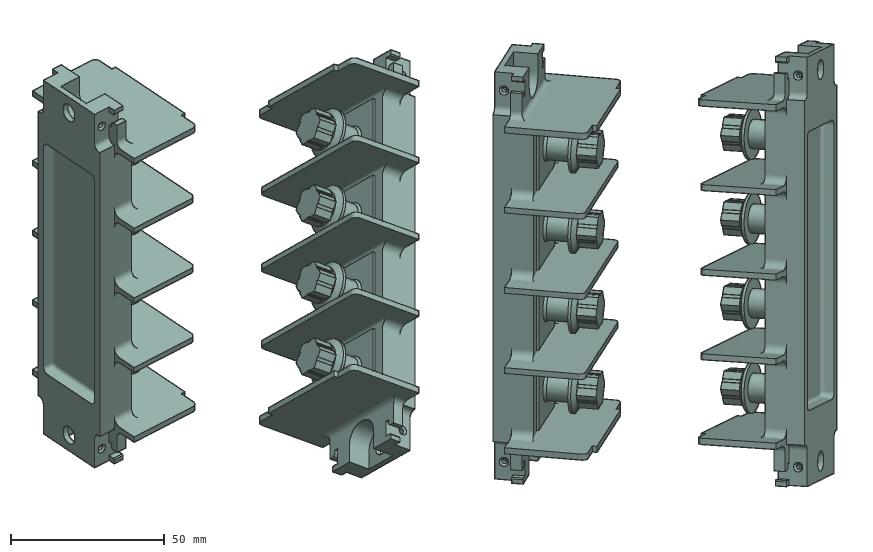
import cadquery as cq
import math

LENGTH = 142.2
MID = LENGTH / 2

ARC_MIDDLE = 1 - math.sqrt(0.5)

PLATE_PITCH = 28.0
PLATE_THICK = 2.1
INNER_PLATE_THICK = 2.0
PLATE_PLACES = [n * PLATE_PITCH for n in (-2, -1, 0, 1, 2)]
BAY_PLACES = [(n + 0.5) * PLATE_PITCH for n in (-2, -1, 0, 1)]
BODY_TOP = 2 * PLATE_PITCH + PLATE_THICK / 2
BODY_WIDTH = 30.5
BODY_DEPTH = 13.7

PLATE_WIDTH = 50.0
PLATE_FRONT = 6.3
INNER_PLATE_BACK = 32.8
OUTER_PLATE_BACK = 33.7
TONGUE_WIDTH = 34.1
TONGUE_BACK = 35.3
PLATE_CORNER = 2.0

BODY_SIDE_FLARE = 2.8
BODY_BACK_FLARE = 0.7
HOOK_SIDE_FLARE = 2.3
HOOK_BACK_FLARE = 1.7

END_WIDTH = 25.3
END_DEPTH = 10.1
END_FILLET = 2.1
SHOULDER_TOP = 63.7
HOOK_WIDTH = 33.1
HOOK_INNER_WIDTH = 27.6
HOOK_TOP = 65.8
HOOK_ROUND = 1.4
TAB_THICK = 2.0
TAB_CHAMFER = 0.4
HOLE_PLACE = 64.8
SLOT_LENGTH = 6.5
SLOT_WIDTH = 5.5
RECESS_WIDTH = 12.5
RECESS_BOTTOM = 58.6
RECESS_CORNER = 6.0
RECESS_FLOOR = 2.0
SIDE_HOLE_Y = 3.1
SIDE_HOLE_DIAMETER = 1.7
SIDE_SINK_DIAMETER = 3.1
SIDE_SINK_DEPTH = 0.7
SIDE_HOLE_DEPTH = 2.8

POCKET_WIDTH = 25.2
POCKET_LENGTH = 92.5
POCKET_DEPTH = 4.3
POCKET_DRAFT = 5.0
POCKET_CORNER = 2.0
POCKET_FILLET = 1.3

PAD_SIZE = 22.8
PAD_BACK = 14.5
SHANK_RADIUS = 4.8
NECK_RADIUS = 5.4
NECK_BACK = 15.5
FLANGE_FRONT = 23.5
FLANGE_RADIUS = 8.4
FLANGE_THICK = 1.0
CONE_BACK = 25.9
CONE_RADIUS = 6.1
HEAD_BACK = 32.4
HEAD_SIDES = 6
HEAD_FLATS = 11.0
GROOVE_WIDTH = 1.1
GROOVE_DEPTH = 0.3


def block(width, front, back, bottom, top):
    """Box centred on X = 0."""
    size = (width, back - front, top - bottom)
    return cq.Workplane("XY").box(*size, centered=(True, False, False)).translate((0, front, bottom))


def both_ends(shape):
    """The shape and its mirror image at the other end of the strip."""
    return shape.union(shape.mirror("XY"))


def flare(width, depth, place, direction, side_flare, back_flare):
    """Mitred root that widens a block of the given width and depth as it meets a plate face."""
    half = width / 2
    side_tip = place + direction * side_flare
    back_tip = place + direction * back_flare
    across = (
        cq.Workplane("XZ")
        .moveTo(half, side_tip)
        .threePointArc(
            (half + side_flare * ARC_MIDDLE, place + direction * side_flare * ARC_MIDDLE),
            (half + side_flare, place),
        )
        .lineTo(-half - side_flare, place)
        .threePointArc(
            (-half - side_flare * ARC_MIDDLE, place + direction * side_flare * ARC_MIDDLE),
            (-half, side_tip),
        )
        .close()
        .extrude(-depth - back_flare)
    )
    along = (
        cq.Workplane("YZ")
        .moveTo(PLATE_FRONT, side_tip)
        .lineTo(depth, side_tip)
        .lineTo(depth, back_tip)
        .threePointArc(
            (depth + back_flare * ARC_MIDDLE, place + direction * back_flare * ARC_MIDDLE),
            (depth + back_flare, place),
        )
        .lineTo(PLATE_FRONT, place)
        .close()
        .extrude(PLATE_WIDTH / 2, both=True)
    )
    return across.intersect(along)


def barrier_plate(place, back, thick):
    """Plate with its two rear corners rounded."""
    plate = block(PLATE_WIDTH, PLATE_FRONT, back, place - thick / 2, place + thick / 2)
    return plate.edges("|Z and >Y").fillet(PLATE_CORNER)


def outer_plate():
    """Upper outer plate with the tongue on its rear edge."""
    top = BODY_TOP
    bottom = top - PLATE_THICK
    tongue = block(TONGUE_WIDTH, BODY_DEPTH, TONGUE_BACK, bottom, top)
    plate = barrier_plate(PLATE_PLACES[-1], OUTER_PLATE_BACK, PLATE_THICK).union(tongue)
    below = flare(BODY_WIDTH, BODY_DEPTH, bottom, -1, BODY_SIDE_FLARE, BODY_BACK_FLARE)
    above = flare(HOOK_WIDTH, END_DEPTH, top, 1, HOOK_SIDE_FLARE, HOOK_BACK_FLARE)
    return plate.union(below).union(above)


def inner_plate(place):
    """Plate between two bays, flared into the body on both faces."""
    plate = barrier_plate(place, INNER_PLATE_BACK, INNER_PLATE_THICK)
    for direction in (-1, 1):
        face = place + direction * INNER_PLATE_THICK / 2
        root = flare(BODY_WIDTH, BODY_DEPTH, face, direction, BODY_SIDE_FLARE, BODY_BACK_FLARE)
        plate = plate.union(root)
    return plate


def end_block():
    """Upper end block with shoulder fillets, hooks and tabs."""
    half_body = BODY_WIDTH / 2
    half_end = END_WIDTH / 2
    body = (
        cq.Workplane("XZ")
        .moveTo(0, BODY_TOP - PLATE_THICK)
        .lineTo(half_body, BODY_TOP - PLATE_THICK)
        .lineTo(half_body, BODY_TOP)
        .lineTo(half_end + END_FILLET, BODY_TOP)
        .threePointArc(
            (half_end + END_FILLET * ARC_MIDDLE, BODY_TOP + END_FILLET * ARC_MIDDLE),
            (half_end, BODY_TOP + END_FILLET),
        )
        .lineTo(half_end, MID)
        .lineTo(0, MID)
        .mirrorY()
        .extrude(-END_DEPTH)
    )
    shoulder = block(HOOK_WIDTH, PLATE_FRONT, END_DEPTH, BODY_TOP, SHOULDER_TOP)
    tabs = block(BODY_WIDTH, PLATE_FRONT, END_DEPTH, MID - TAB_THICK, MID)
    tabs = tabs.faces("<Z").edges("|Y").chamfer(TAB_CHAMFER)
    hook_thick = (HOOK_WIDTH - HOOK_INNER_WIDTH) / 2
    hook = block(hook_thick, PLATE_FRONT, END_DEPTH, BODY_TOP, HOOK_TOP)
    hook = hook.edges("|Y and >Z and <X").fillet(HOOK_ROUND)
    hook = hook.translate((HOOK_WIDTH / 2 - hook_thick / 2, 0, 0))
    body = body.union(shoulder).union(tabs)
    return body.union(hook).union(hook.mirror("YZ"))


def end_cuts():
    """Mounting slot, screw recess open at the end, and countersunk side holes."""
    slot = (
        cq.Workplane("XZ")
        .center(0, HOLE_PLACE)
        .slot2D(SLOT_LENGTH, SLOT_WIDTH, 90)
        .extrude(-END_DEPTH)
    )
    recess = block(RECESS_WIDTH, RECESS_FLOOR, END_DEPTH, RECESS_BOTTOM, MID)
    recess = recess.edges("|Y and <Z").fillet(RECESS_CORNER)
    side_hole = (
        cq.Workplane("YZ", origin=(END_WIDTH / 2, SIDE_HOLE_Y, HOLE_PLACE))
        .circle(SIDE_HOLE_DIAMETER / 2)
        .extrude(-SIDE_HOLE_DEPTH)
    )
    sink = (
        cq.Workplane("YZ", origin=(END_WIDTH / 2, SIDE_HOLE_Y, HOLE_PLACE))
        .circle(SIDE_SINK_DIAMETER / 2)
        .workplane(offset=-SIDE_SINK_DEPTH)
        .circle(SIDE_HOLE_DIAMETER / 2)
        .loft()
    )
    side_hole = side_hole.union(sink)
    return slot.union(recess).union(side_hole).union(side_hole.mirror("YZ"))


def label_pocket():
    """Round-cornered pocket with drafted walls and a filleted floor."""
    outline = cq.Sketch().rect(POCKET_WIDTH, POCKET_LENGTH).vertices().fillet(POCKET_CORNER)
    pocket = cq.Workplane("XZ").placeSketch(outline).extrude(-POCKET_DEPTH, taper=POCKET_DRAFT)
    return pocket.faces(">Y").edges().fillet(POCKET_FILLET)


def screw_head(front):
    """Hexagon head along Y, with a shallow groove down the middle of every flat."""
    head = (
        cq.Workplane("XZ", origin=(0, front, 0))
        .polygon(HEAD_SIDES, HEAD_FLATS / math.cos(math.pi / HEAD_SIDES))
        .extrude(front - HEAD_BACK)
    )
    flat = HEAD_FLATS / 2
    groove = block(GROOVE_WIDTH, front, HEAD_BACK, flat - GROOVE_DEPTH, flat)
    for side in range(HEAD_SIDES):
        head = head.cut(groove.rotate((0, 0, 0), (0, 1, 0), side * 360 / HEAD_SIDES))
    return head


def terminal(place):
    """Square pad with a flanged hexagon screw standing on it."""
    pad = block(PAD_SIZE, BODY_DEPTH, PAD_BACK, place - PAD_SIZE / 2, place + PAD_SIZE / 2)
    flange_back = FLANGE_FRONT + FLANGE_THICK
    turned = (
        cq.Workplane("XY")
        .moveTo(0, BODY_DEPTH)
        .lineTo(NECK_RADIUS, BODY_DEPTH)
        .lineTo(NECK_RADIUS, PAD_BACK)
        .lineTo(SHANK_RADIUS, NECK_BACK)
        .lineTo(SHANK_RADIUS, FLANGE_FRONT)
        .lineTo(FLANGE_RADIUS, FLANGE_FRONT)
        .lineTo(FLANGE_RADIUS, flange_back)
        .lineTo(CONE_RADIUS, CONE_BACK)
        .lineTo(0, CONE_BACK)
        .close()
        .revolve(360, (0, 0, 0), (0, 1, 0))
    )
    screw = turned.union(screw_head(flange_back))
    return pad.union(screw.translate((0, 0, place)))


result = block(BODY_WIDTH, 0, BODY_DEPTH, -BODY_TOP, BODY_TOP)
result = result.union(both_ends(outer_plate())).union(both_ends(end_block()))
for plate_place in PLATE_PLACES[1:-1]:
    result = result.union(inner_plate(plate_place))
for bay_place in BAY_PLACES:
    result = result.union(terminal(bay_place))
result = result.cut(both_ends(end_cuts())).cut(label_pocket())